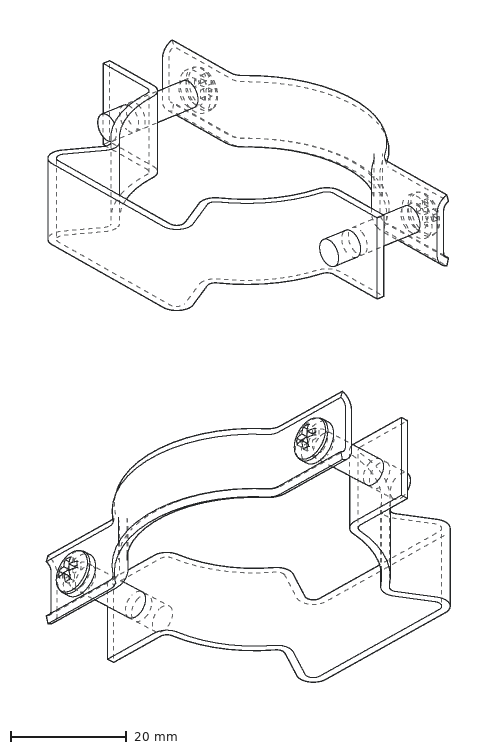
import cadquery as cq
import math


overall_length = 73.0
pipe_radius = 22.0
bend_radius = 3.0
thickness = bend_radius / 2
arm_reach = 36.4
long_arm_reach = overall_length - arm_reach

foot_width = 16.0
foot_bottom = -31.5
foot_bend_x = 14.8
leg_lean = math.radians(30)

channel_width = 14.0
channel_arm_y = 12.0
neck_radius = 5.05
lip_tilt = math.radians(15)

screw_x = 29.5
shank_diameter = 5.05
shank_end_y = -6.5
head_diameter = 8.0
head_rim_height = 1.4
head_bevel_height = 0.45
dome_diameter = 7.75
dome_height = 1.4
recess_width = 1.3
recess_length = 4.5


def polar(center, radius, angle):
    return (center[0] + radius * math.cos(angle), center[1] + radius * math.sin(angle))


def mirrored(points):
    """The same points on the -X side, in reverse order."""
    return [(-x, y) for x, y in reversed(points)]


def smooth_path(points, pieces):
    """Path in the XY plane in which every arc leaves its start point tangentially."""
    path = cq.Workplane("XY").moveTo(*points[0])
    for point, piece in zip(points[1:], pieces):
        if piece == "line":
            path = path.lineTo(*point)
        else:
            path = path.tangentArcPoint(point, relative=False)
    return path


def drill_screw_holes(strap):
    for x in (-screw_x, screw_x):
        drill = (
            cq.Workplane("XZ", origin=(x, 0, 0))
            .circle(shank_diameter / 2)
            .extrude(overall_length, both=True)
        )
        strap = strap.cut(drill)
    return strap


def make_foot_strap():
    """Flat strip following its mid-thickness line: arms, pipe seat, waist, legs and foot."""
    bend = bend_radius - thickness / 2
    seat = pipe_radius + thickness / 2
    bend_center_distance = seat + bend

    arm_bend_x = math.sqrt(bend_center_distance**2 - bend_radius**2)
    arm_bend_angle = math.atan2(-bend_radius, arm_bend_x)

    foot_bend_center = (foot_bend_x, foot_bottom + bend_radius)
    leg_normal = (math.cos(leg_lean), math.sin(leg_lean))
    leg_distance = foot_bend_center[0] * leg_normal[0] + foot_bend_center[1] * leg_normal[1] + bend
    waist_angle = leg_lean - math.acos((leg_distance + bend) / bend_center_distance)
    waist_center = polar((0, 0), bend_center_distance, waist_angle)

    right_half = [
        (foot_bend_x, foot_bottom + thickness / 2),
        polar(foot_bend_center, bend, leg_lean),
        polar(waist_center, -bend, leg_lean),
        polar((0, 0), seat, waist_angle),
        polar((0, 0), seat, arm_bend_angle),
        (arm_bend_x, -thickness / 2),
        (arm_reach, -thickness / 2),
    ]
    half_pieces = ["arc", "line", "arc", "arc", "arc", "line"]
    path = smooth_path(
        mirrored(right_half) + right_half,
        half_pieces[::-1] + ["line"] + half_pieces,
    )
    strip = (
        cq.Workplane("YZ", origin=(-arm_reach, -thickness / 2, 0))
        .rect(thickness, foot_width)
        .sweep(path)
    )
    return drill_screw_holes(strip)


def channel_section():
    """Flat web with both edges rolled away from the pipe, on the end of the -X arm."""
    roll_outside = bend_radius
    roll_inside = bend_radius - thickness
    roll_center_y = channel_arm_y + roll_outside
    roll_center_z = channel_width / 2 - roll_outside * math.cos(lip_tilt)
    lip_angle = math.pi - (math.pi / 2 - lip_tilt)
    mid_angle = (math.pi + lip_angle) / 2

    upper_roll = (roll_center_y, roll_center_z)
    web_outside = (channel_arm_y, roll_center_z)
    web_inside = (channel_arm_y + thickness, roll_center_z)
    outside_mid = polar(upper_roll, roll_outside, mid_angle)
    outside_tip = polar(upper_roll, roll_outside, lip_angle)
    inside_mid = polar(upper_roll, roll_inside, mid_angle)
    inside_tip = polar(upper_roll, roll_inside, lip_angle)

    def lower(point):
        return (point[0], -point[1])

    return (
        cq.Workplane("YZ", origin=(-arm_reach, 0, 0))
        .moveTo(*lower(web_outside))
        .lineTo(*web_outside)
        .threePointArc(outside_mid, outside_tip)
        .lineTo(*inside_tip)
        .threePointArc(inside_mid, web_inside)
        .lineTo(*lower(web_inside))
        .threePointArc(lower(inside_mid), lower(inside_tip))
        .lineTo(*lower(outside_tip))
        .threePointArc(lower(outside_mid), lower(web_outside))
        .close()
    )


def make_channel_strap():
    """Channel following its pipe-side face: arm, neck bend, arch, neck bend, arm."""
    neck_center_distance = pipe_radius + neck_radius
    neck_center_y = channel_arm_y + neck_radius
    neck_x = math.sqrt(neck_center_distance**2 - neck_center_y**2)
    neck_angle = math.atan2(neck_center_y, neck_x)

    right_half = [
        polar((0, 0), pipe_radius, neck_angle),
        (neck_x, channel_arm_y),
    ]
    left_end = (-arm_reach, channel_arm_y)
    right_end = (long_arm_reach, channel_arm_y)
    path = smooth_path(
        [left_end] + mirrored(right_half) + right_half + [right_end],
        ["line", "arc", "arc", "arc", "line"],
    )
    return drill_screw_holes(channel_section().sweep(path))


def make_screw(x):
    """Cross-recessed domed screw seated on the back of the channel arm, pointing towards -Y."""
    shank_radius = shank_diameter / 2
    head_radius = head_diameter / 2
    dome_edge_radius = dome_diameter / 2
    seat_y = channel_arm_y + thickness
    rim_y = seat_y + head_rim_height
    dome_base_y = rim_y + head_bevel_height
    dome_top_y = dome_base_y + dome_height

    dome_radius = (dome_edge_radius**2 + dome_height**2) / (2 * dome_height)
    dome_center = (0, dome_top_y - dome_radius)
    half_dome_angle = math.asin(dome_edge_radius / dome_radius)
    dome_mid = polar(dome_center, dome_radius, math.pi / 2 - half_dome_angle / 2)

    screw = (
        cq.Workplane("XY")
        .moveTo(0, shank_end_y)
        .lineTo(shank_radius, shank_end_y)
        .lineTo(shank_radius, seat_y)
        .lineTo(head_radius, seat_y)
        .lineTo(head_radius, rim_y)
        .lineTo(dome_edge_radius, dome_base_y)
        .threePointArc(dome_mid, (0, dome_top_y))
        .close()
        .revolve(360, (0, 0, 0), (0, 1, 0))
    )

    for size_x, size_z in ((recess_length, recess_width), (recess_width, recess_length)):
        slot = (
            cq.Workplane("XY", origin=(0, dome_base_y, 0))
            .box(size_x, dome_height, size_z, centered=(True, False, True))
        )
        screw = screw.cut(slot)
    return screw.translate((x, 0, 0))


foot_strap = make_foot_strap()
channel_strap = make_channel_strap()
screws = [make_screw(x) for x in (-screw_x, screw_x)]

result = cq.Compound.makeCompound(
    [foot_strap.val(), channel_strap.val(), *[screw.val() for screw in screws]]
)